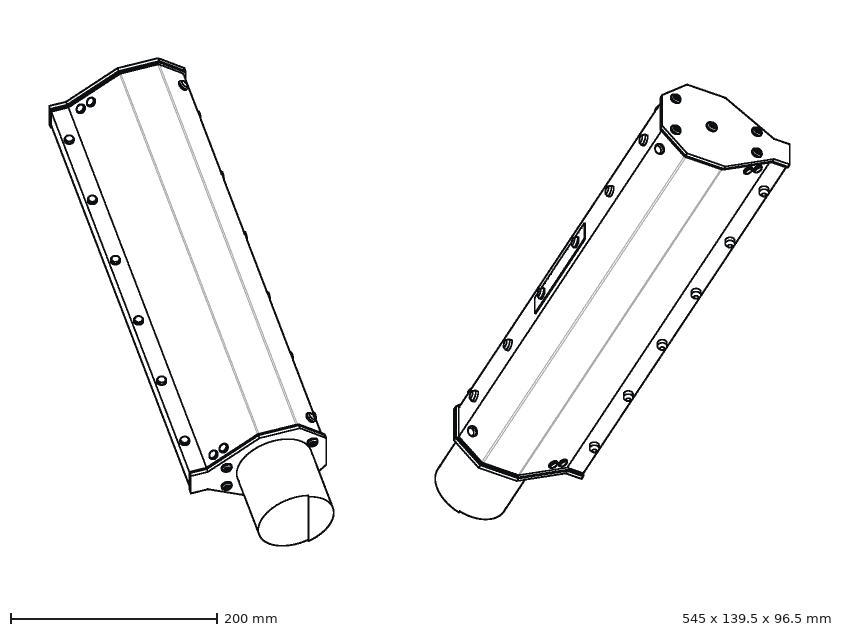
import cadquery as cq
import math

total_length = 545.0

end_head_height = 3.0
cover_thickness = 4.0
gasket_thickness = 1.5
gasket_inset = 0.25
cover_span = 468.5
plate_overhang = 2.5

cover_height = 96.5
half_height = cover_height / 2 - plate_overhang
back_y = 50.0
back_chamfer = 25.0
top_front_y = -14.0
lip_start_y = -66.5
lip_front_y = -84.0
cover_front_y = -84.5
lip_half_height = 11.5
bend_radius = 2.45

row_count = 6
row_pitch = 76.5
lip_screw_y = -77.5
slope_screw_ys = (-46.5, -56.5)
slope_screw_inset = 2.8
bevel_screw_y = 43.5
bevel_screw_inset = 4.4

lip_head = (9.0, 7.5, 3.0)
back_head = (11.0, 7.5, 5.0)
slope_head = (9.0, 7.5, 2.0)
bevel_head = (10.5, 7.5, 3.0)
end_head = (10.5, 7.5, end_head_height)
axle_head = (11.0, 7.5, end_head_height)
rim_fraction = 0.5
socket_diameter = 5.0
socket_depth = 1.5

nut_diameter = 9.0
nut_rim_height = 4.5
nut_tip_diameter = 4.5
nut_height = 7.5

end_screw_pairs = ((38.5, 22.0), (-48.5, 14.5))

label_length = 111.0
label_height = 22.0
label_thickness = 1.0

motor_diameter = 76.5
segment_thickness = 1.5
segment_chord_y = 12.5

cover_start_x = end_head_height
cover_end_x = cover_start_x + cover_span
body_start_x = cover_start_x + cover_thickness + gasket_thickness
body_end_x = cover_end_x - cover_thickness - gasket_thickness
body_length = body_end_x - body_start_x
middle_x = (cover_start_x + cover_end_x) / 2
row_xs = [middle_x + (i - (row_count - 1) / 2) * row_pitch for i in range(row_count)]
slope_angle = math.atan2(half_height - lip_half_height, top_front_y - lip_start_y)


def section_outline(start_x):
    """Closed housing cross-section in the YZ plane at the given X."""
    upper = [
        (lip_front_y, lip_half_height),
        (lip_start_y, lip_half_height),
        (top_front_y, half_height),
        (back_y - back_chamfer, half_height),
        (back_y, half_height - back_chamfer),
    ]
    lower = [(y, -z) for y, z in reversed(upper)]
    return cq.Workplane("YZ", origin=(start_x, 0, 0)).polyline(upper + lower).close()


def plate(start_x, thickness, overhang):
    """Plate that overhangs the housing everywhere except at the lip front."""
    grown = section_outline(start_x).offset2D(overhang, "intersection").extrude(thickness)
    front_trim = cq.Workplane("XY").box(
        total_length, overhang, cover_height, centered=(True, False, True)
    ).translate((start_x, cover_front_y - overhang, 0))
    return grown.cut(front_trim)


def screw_head(position, direction, sizes):
    """Round head with a straight rim and a conical shoulder, seated on a face."""
    base_diameter, top_diameter, height = sizes
    base = base_diameter / 2
    top = top_diameter / 2
    profile = [(0, 0), (base, 0), (base, rim_fraction * height), (top, height), (0, height)]
    return turned(position, direction, profile)


def socket_head(position, direction, sizes):
    """Round head with a blind round socket in its top."""
    height = sizes[2]
    socket = socket_diameter / 2
    floor = height - socket_depth
    recess_profile = [(0, floor), (socket, floor), (socket, height), (0, height)]
    recess = turned(position, direction, recess_profile)
    return screw_head(position, direction, sizes).cut(recess)


def cap_nut(position, direction):
    """Nut with a straight rim and a tapered closed end."""
    rim = nut_diameter / 2
    tip = nut_tip_diameter / 2
    profile = [(0, 0), (rim, 0), (rim, nut_rim_height), (tip, nut_height), (0, nut_height)]
    return turned(position, direction, profile)


def turned(position, direction, profile):
    """Revolve a (radius, height) profile about the axis through position along direction."""
    solid = cq.Workplane("XZ").polyline(profile).close().revolve(360, (0, 0), (0, 1))
    seat = cq.Plane(origin=position, normal=direction)
    return cq.Workplane(obj=solid.val().moved(cq.Location(seat)))


def build_body():
    """Housing with rounded bends along its top and bottom flats."""
    body = section_outline(body_start_x).extrude(body_length)
    for y in (top_front_y, back_y - back_chamfer):
        for z in (half_height, -half_height):
            corner = (middle_x, y, z)
            body = body.edges(cq.selectors.NearestToPointSelector(corner)).fillet(bend_radius)
    return body


def build_end_plates():
    gasket_overhang = plate_overhang - gasket_inset
    gasket_start_x = cover_start_x + cover_thickness
    cover_far_x = cover_end_x - cover_thickness
    return [
        plate(cover_start_x, cover_thickness, plate_overhang),
        plate(gasket_start_x, gasket_thickness, gasket_overhang),
        plate(body_end_x, gasket_thickness, gasket_overhang),
        plate(cover_far_x, cover_thickness, plate_overhang),
    ]


def build_row_screws():
    parts = []
    for x in row_xs:
        parts.append(screw_head((x, lip_screw_y, lip_half_height), (0, 0, 1), lip_head))
        parts.append(cap_nut((x, lip_screw_y, -lip_half_height), (0, 0, -1)))
        parts.append(screw_head((x, back_y, 0), (0, 1, 0), back_head))
    return parts


def build_side_screws():
    """Screws near both ends on the long slopes and on the back bevels."""
    parts = []
    for end_x, inward in ((cover_start_x, 5.5), (cover_end_x, -5.5)):
        for side in (1, -1):
            slope_x = end_x + inward * slope_screw_inset
            slope_normal = (0, -math.sin(slope_angle), side * math.cos(slope_angle))
            for y in slope_screw_ys:
                z = lip_half_height + (y - lip_start_y) * math.tan(slope_angle)
                parts.append(screw_head((slope_x, y, side * z), slope_normal, slope_head))
            bevel_x = end_x + inward * bevel_screw_inset
            bevel_z = half_height - back_chamfer + back_y - bevel_screw_y
            bevel_seat = (bevel_x, bevel_screw_y, side * bevel_z)
            parts.append(screw_head(bevel_seat, (0, 1, side), bevel_head))
    return parts


def build_end_screws():
    parts = [socket_head((cover_start_x, 0, 0), (-1, 0, 0), axle_head)]
    for x, direction in ((cover_start_x, -1), (cover_end_x, 1)):
        for y, half_spacing in end_screw_pairs:
            for z in (half_spacing, -half_spacing):
                parts.append(socket_head((x, y, z), (direction, 0, 0), end_head))
    return parts


def build_label():
    label = cq.Workplane("XY").box(
        label_length, label_thickness, label_height, centered=(True, False, True)
    )
    return label.translate((middle_x, back_y, 0))


def build_motor():
    """Cylinder with a raised circular segment on its end face."""
    motor = cq.Workplane("YZ", origin=(cover_end_x, 0, 0)).circle(motor_diameter / 2)
    motor = motor.extrude(total_length - cover_end_x)
    face_x = total_length - segment_thickness
    step = cq.Workplane("XY").box(
        segment_thickness, motor_diameter, motor_diameter, centered=(False, False, True)
    ).translate((face_x, segment_chord_y - motor_diameter, 0))
    return motor.cut(step)


result = build_body()
for piece in build_end_plates() + [build_label(), build_motor()]:
    result = result.union(piece)
for piece in build_row_screws() + build_side_screws() + build_end_screws():
    result = result.union(piece)